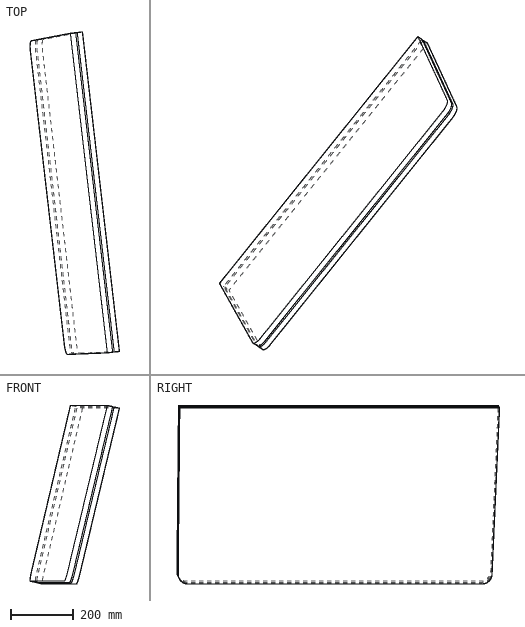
import cadquery as cq
import math

top_length = 1032.0
panel_height = 580.0
side_taper = 1.0
corner_radius = 32.0
panel_thickness = 18.0
panel_gap = 5.0
bottom_corner_count = 2

lean = 13.4
yaw = 6.6

half_top = top_length / 2
half_bottom = half_top - panel_height * math.tan(math.radians(side_taper))

lean_angle = math.radians(lean)
yaw_angle = math.radians(yaw)
length_direction = (math.sin(yaw_angle), -math.cos(yaw_angle), 0)
face_normal = (
    -math.cos(lean_angle) * math.cos(yaw_angle),
    -math.cos(lean_angle) * math.sin(yaw_angle),
    math.sin(lean_angle),
)
panel_plane = cq.Plane(origin=(0, 0, 0), xDir=length_direction, normal=face_normal)


def make_panel(back_offset):
    """Trapezoidal panel with rounded bottom corners, its back face at back_offset."""
    outline = [
        (-half_top, 0),
        (half_top, 0),
        (half_bottom, -panel_height),
        (-half_bottom, -panel_height),
    ]
    blank = (
        cq.Workplane(panel_plane)
        .workplane(offset=back_offset)
        .polyline(outline)
        .close()
        .extrude(panel_thickness)
    )
    across_thickness = cq.selectors.ParallelDirSelector(cq.Vector(*face_normal))
    corner_edges = blank.edges(across_thickness).vals()
    bottom_corners = sorted(corner_edges, key=lambda edge: edge.Center().z)[:bottom_corner_count]
    return blank.newObject(bottom_corners).fillet(corner_radius)


panel_offsets = [0, panel_thickness + panel_gap]
panels = [make_panel(offset).val() for offset in panel_offsets]

result = cq.Compound.makeCompound(panels)